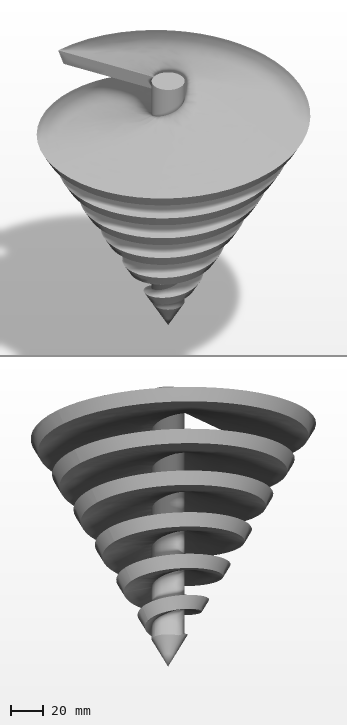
import cadquery as cq
import math

overall_height = 175.3
shaft_radius = 10.0
cone_half_angle = 30.0
pitch = 25.0
flight_thickness = 8.6
flight_slope = 10.8
flight_end_angle = 180.0
root_radius = 5.3
blank_radius = 98.5

cone_ratio = math.tan(math.radians(cone_half_angle))
tip_height = shaft_radius / cone_ratio
shaft_length = overall_height - tip_height
flight_turns = shaft_length / pitch
flight_start_angle = flight_end_angle - 360 * flight_turns


def flight_top(radius):
    """Height of the upper face at the start of the flight."""
    return tip_height - radius * math.tan(math.radians(flight_slope))


def make_flight_blank():
    """Right-handed helical flight of constant radius, sloping down outward."""
    helix = cq.Wire.makeHelix(pitch, shaft_length, shaft_radius)
    section = [
        (root_radius, flight_top(root_radius)),
        (blank_radius, flight_top(blank_radius)),
        (blank_radius, flight_top(blank_radius) - flight_thickness),
        (root_radius, flight_top(root_radius) - flight_thickness),
    ]
    return (
        cq.Workplane("XZ")
        .polyline(section)
        .close()
        .sweep(cq.Workplane(helix), isFrenet=True)
        .rotate((0, 0, 0), (0, 0, 1), flight_start_angle)
    )


shaft = cq.Workplane("XY").circle(shaft_radius).extrude(overall_height)
envelope = cq.Workplane(
    cq.Solid.makeCone(0, overall_height * cone_ratio, overall_height)
)
result = shaft.union(make_flight_blank()).intersect(envelope)